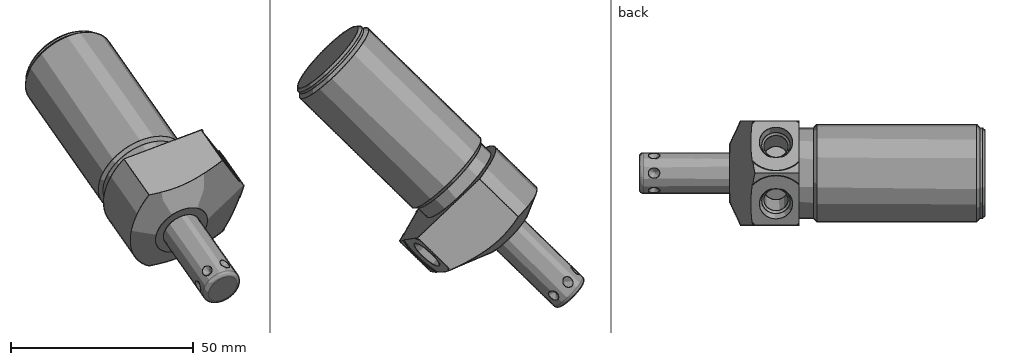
import cadquery as cq
import math

TOTAL_LENGTH = 94.64
BODY_END = 46.05
HEAD_START = 50.9
HEAD_END = 69.9

BODY_RADIUS = 13.35
NECK_RADIUS = 12.4
LEAD_LENGTH = 1.42
LEAD_CHAMFER = 0.75
BODY_STEP = BODY_RADIUS - NECK_RADIUS

HEAD_HEIGHT = 28.57
HEAD_POINT_Y = 22.8
HEAD_WIDTH = 37.06
ROUND_SIDE_Y = HEAD_POINT_Y - HEAD_WIDTH
ROUND_START_Y = -7.98
SLANT_ANGLE = 25.0
HEAD_FACE_RADIUS = 8.0
HEAD_CONE_ANGLE = 25.0

PORT_FROM_HEAD_START = 6.35
PORT_DISTANCE = 9.4
SPOTFACE_RADIUS = 8.6
SPOTFACE_DEPTH = 0.3
PORT_MOUTH_RADIUS = 4.55
PORT_SEAT_RADIUS = 3.9
PORT_SEAT_DEPTH = 2.0
PORT_BORE_RADIUS = 3.3
PORT_BORE_DEPTH = 10.0

ROD_RADIUS = 5.55
ROD_END_FILLET = 1.1
DIMPLE_COUNT = 6
DIMPLE_RADIUS = 1.58
DIMPLE_CONE_ANGLE = 90.0
DIMPLE_X = 90.6
TOOL_CLEARANCE = 1.0


def make_body():
    """Turned body and neck, revolved about X."""
    profile = [
        (0, 0),
        (0, NECK_RADIUS - LEAD_CHAMFER),
        (LEAD_CHAMFER, NECK_RADIUS),
        (LEAD_LENGTH, NECK_RADIUS),
        (LEAD_LENGTH + BODY_STEP, BODY_RADIUS),
        (BODY_END, BODY_RADIUS),
        (BODY_END + BODY_STEP, NECK_RADIUS),
        (HEAD_START, NECK_RADIUS),
        (HEAD_START, 0),
    ]
    return cq.Workplane("XY").polyline(profile).close().revolve(360, (0, 0), (1, 0))


def make_head():
    """Pointed and rounded prism, trimmed at the front by a cone about X."""
    half_height = HEAD_HEIGHT / 2
    corner_y = HEAD_POINT_Y - half_height * math.tan(math.radians(SLANT_ANGLE))
    prism = (
        cq.Workplane("YZ", origin=(HEAD_START, 0, 0))
        .moveTo(ROUND_START_Y, half_height)
        .lineTo(corner_y, half_height)
        .lineTo(HEAD_POINT_Y, 0)
        .lineTo(corner_y, -half_height)
        .lineTo(ROUND_START_Y, -half_height)
        .threePointArc((ROUND_SIDE_Y, 0), (ROUND_START_Y, half_height))
        .close()
        .extrude(HEAD_END - HEAD_START)
    )
    rim_radius = HEAD_POINT_Y + TOOL_CLEARANCE
    rim_x = HEAD_END - (rim_radius - HEAD_FACE_RADIUS) * math.tan(math.radians(HEAD_CONE_ANGLE))
    envelope_profile = [
        (HEAD_START, 0),
        (HEAD_START, rim_radius),
        (rim_x, rim_radius),
        (HEAD_END, HEAD_FACE_RADIUS),
        (HEAD_END, 0),
    ]
    envelope = cq.Workplane("XY").polyline(envelope_profile).close().revolve(360, (0, 0), (1, 0))
    return prism.intersect(envelope)


def make_rod():
    """Plain rod with a rounded end, rooted on the front face of the head."""
    rod = cq.Workplane("YZ", origin=(HEAD_END, 0, 0)).circle(ROD_RADIUS).extrude(TOTAL_LENGTH - HEAD_END)
    return rod.faces(">X").edges().fillet(ROD_END_FILLET)


def make_port_cutter(side):
    """Stepped port tool normal to a slanted face; side is +1 for +Z, -1 for -Z."""
    slant = math.radians(SLANT_ANGLE)
    centre = cq.Vector(
        HEAD_START + PORT_FROM_HEAD_START,
        HEAD_POINT_Y - PORT_DISTANCE * math.sin(slant),
        side * PORT_DISTANCE * math.cos(slant),
    )
    outward = cq.Vector(0, math.cos(slant), side * math.sin(slant))
    seat_depth = SPOTFACE_DEPTH + PORT_SEAT_DEPTH
    bore_start = seat_depth + PORT_SEAT_RADIUS - PORT_BORE_RADIUS
    profile = [
        (0, TOOL_CLEARANCE),
        (SPOTFACE_RADIUS, TOOL_CLEARANCE),
        (SPOTFACE_RADIUS, -SPOTFACE_DEPTH),
        (PORT_MOUTH_RADIUS, -SPOTFACE_DEPTH),
        (PORT_SEAT_RADIUS, -seat_depth),
        (PORT_BORE_RADIUS, -bore_start),
        (PORT_BORE_RADIUS, -PORT_BORE_DEPTH),
        (0, -PORT_BORE_DEPTH),
    ]
    sketch_plane = cq.Plane(origin=centre, xDir=(1, 0, 0), normal=cq.Vector(1, 0, 0).cross(outward))
    return cq.Workplane(sketch_plane).polyline(profile).close().revolve(360, (0, 0), (0, 1))


def make_dimple_cutter(angle):
    """Conical tool pointing at the rod axis, turned about X from the -Y side."""
    slope = math.tan(math.radians(DIMPLE_CONE_ANGLE / 2))
    depth = DIMPLE_RADIUS / slope
    base_radius = DIMPLE_RADIUS + TOOL_CLEARANCE * slope
    cone = cq.Solid.makeCone(
        base_radius,
        0,
        depth + TOOL_CLEARANCE,
        pnt=cq.Vector(DIMPLE_X, -ROD_RADIUS - TOOL_CLEARANCE, 0),
        dir=cq.Vector(0, 1, 0),
    )
    return cq.Workplane(cone).rotate((0, 0, 0), (1, 0, 0), angle)


result = make_body().union(make_head()).union(make_rod())

for port_side in (1, -1):
    result = result.cut(make_port_cutter(port_side))

for dimple_index in range(DIMPLE_COUNT):
    result = result.cut(make_dimple_cutter(dimple_index * 360 / DIMPLE_COUNT))